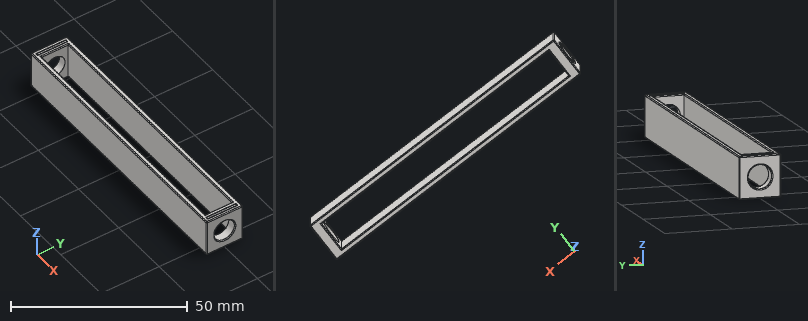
import cadquery as cq

length = 87.5
side = 12.5
chamfer = 0.3

end_wall = 3.1
side_wall = 1.7
window_length = length - 2 * end_wall
window_width = side - 2 * side_wall

hole_diameter = 7.0

groove_width = 0.8
groove_depth = 0.2
groove_end_margin = 1.1
groove_length = side - 2 * groove_end_margin
groove_centre = (length - end_wall) / 2


def make_body():
    """Bar with every outer edge chamfered."""
    return cq.Workplane("XY").box(length, side, side).edges().chamfer(chamfer)


def make_window():
    """Through window that flares at the top and bottom rims."""
    window = cq.Workplane("XY").box(window_length, window_width, side)
    for direction in (1, -1):
        flare = (
            cq.Workplane("XY")
            .workplane(offset=direction * (side / 2 - chamfer))
            .rect(window_length, window_width)
            .workplane(offset=direction * chamfer)
            .rect(window_length + 2 * chamfer, window_width + 2 * chamfer)
            .loft()
        )
        window = window.union(flare)
    return window


def make_cross_hole():
    """Cylinder along X that widens to a chamfered mouth at each end."""
    radius = hole_diameter / 2
    mouth_radius = radius + chamfer
    end = length / 2
    profile = [
        (-end, 0),
        (-end, mouth_radius),
        (-end + chamfer, radius),
        (end - chamfer, radius),
        (end, mouth_radius),
        (end, 0),
    ]
    return cq.Workplane("XY").polyline(profile).close().revolve(360, (0, 0, 0), (1, 0, 0))


def make_grooves():
    """One rectangular groove in the top face of each end wall."""
    return (
        cq.Workplane("XY")
        .workplane(offset=side / 2 - groove_depth)
        .pushPoints([(-groove_centre, 0), (groove_centre, 0)])
        .rect(groove_width, groove_length)
        .extrude(groove_depth)
    )


result = make_body().cut(make_window()).cut(make_cross_hole()).cut(make_grooves())